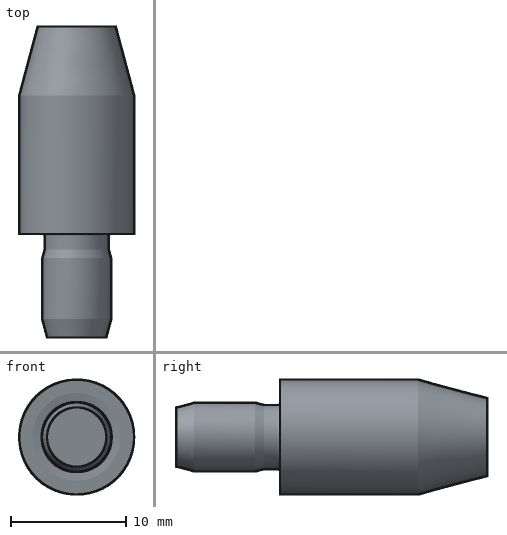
import cadquery as cq
import math

total_length = 27.0
body_diameter = 10.0
stud_diameter = 6.0
neck_diameter = 5.6
stud_length = 9.0
nose_length = 6.0
tip_length = 1.6
undercut_length = 2.1
relief_diameter = 7.61
fillet_radius = 0.3
taper_angle = math.radians(15)
relief_angle = math.radians(8)

body_radius = body_diameter / 2
stud_radius = stud_diameter / 2
neck_radius = neck_diameter / 2
relief_radius = relief_diameter / 2

taper_slope = math.tan(taper_angle)
nose_radius = body_radius - nose_length * taper_slope
tip_radius = stud_radius - tip_length * taper_slope
undercut_start = stud_length - undercut_length
neck_start = undercut_start + (stud_radius - neck_radius) / taper_slope

fillet_end_radius = neck_radius + fillet_radius * (1 - math.sin(relief_angle))
fillet_end_y = stud_length + (relief_radius - fillet_end_radius) * math.tan(relief_angle)
fillet_start_y = fillet_end_y - fillet_radius * math.cos(relief_angle)
fillet_mid_angle = (math.pi / 2 - relief_angle) / 2
fillet_middle = (
    neck_radius + fillet_radius * (1 - math.cos(fillet_mid_angle)),
    fillet_start_y + fillet_radius * math.sin(fillet_mid_angle),
)

half_profile = (
    cq.Workplane("XY")
    .lineTo(tip_radius, 0)
    .lineTo(stud_radius, tip_length)
    .lineTo(stud_radius, undercut_start)
    .lineTo(neck_radius, neck_start)
    .lineTo(neck_radius, fillet_start_y)
    .threePointArc(fillet_middle, (fillet_end_radius, fillet_end_y))
    .lineTo(relief_radius, stud_length)
    .lineTo(body_radius, stud_length)
    .lineTo(body_radius, total_length - nose_length)
    .lineTo(nose_radius, total_length)
    .lineTo(0, total_length)
    .close()
)

result = half_profile.revolve(360, (0, 0, 0), (0, 1, 0))